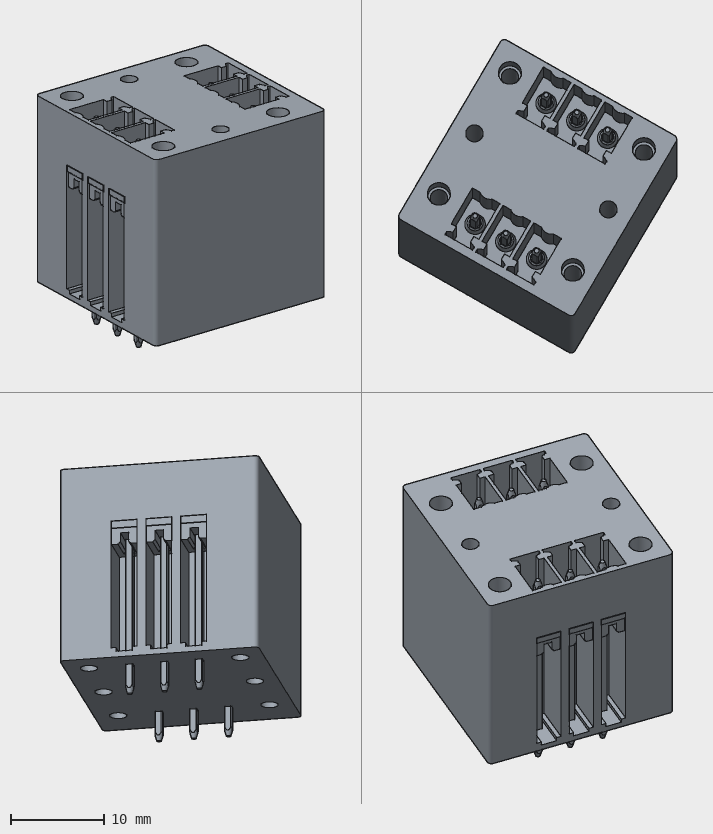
import cadquery as cq

WIDTH = 21.8
DEPTH = 22.7
HEIGHT = 21.85
CORNER_RADIUS = 0.5
FRONT = -DEPTH / 2

PITCH = 3.82
COLUMNS = [-PITCH, 0, PITCH]
ROW_SPACING = 4 * PITCH
GRID_CENTRE_Y = -0.78
FRONT_ROW_Y = GRID_CENTRE_Y - ROW_SPACING / 2
REAR_ROW_Y = GRID_CENTRE_Y + ROW_SPACING / 2
ROWS = [FRONT_ROW_Y, REAR_ROW_Y]
CONTACTS = [(x, y) for y in ROWS for x in COLUMNS]

PIN_WIDTH = 0.83
PIN_BEVEL = 0.1
PIN_TIP_RADIUS = 0.25
PIN_TIP_SLOPE = 3.3
PIN_BOTTOM = -3.25
PIN_TOP = 20.98

SOCKET_WIDTH = 3.41
SOCKET_FLOOR = 16.06
SOCKET_REAR = 3.51
SOCKET_FRONT = 2.35
NECK_WIDTH = 2.15
LIP_STRAIGHT = 0.38
LIP_SLANT_END = 0.68
KEY_END = 1.35
RIB_WIDTH = 1.5
RIB_HEIGHT = 0.28

COLLAR_BASE_RADIUS = 1.1
COLLAR_SHOULDER_RADIUS = 0.85
COLLAR_TOP_RADIUS = 0.55
COLLAR_TAPER_HEIGHT = 0.75
COLLAR_CROWN_HEIGHT = COLLAR_SHOULDER_RADIUS - COLLAR_TOP_RADIUS
COLLAR_RECESS_WIDTH = 1.25
COLLAR_RECESS_BEVEL = 0.35

WINDOW_WIDTH = 2.84
WINDOW_SHIFT = -0.03
WINDOW_BOTTOM = 1.08
WINDOW_TOP = 15.55
LEDGE_Z = 14.78
CAVITY_TOP = 12.95
UPPER_RECESS_DEPTH = 0.1
LOWER_RECESS_DEPTH = 0.25
CAVITY_BACK = FRONT_ROW_Y + WINDOW_WIDTH / 2
GROOVE_WIDTH = 1.8
GROOVE_BOTTOM = 0.65
SLOT_WIDTH = 0.93
SLOT_TOP = 14.23
SLOT_FLARE = 0.25

HOLE_X = 8.3
HOLE_DIAMETER = 1.85
COUNTERBORE_DIAMETER = 2.45
COUNTERBORE_DEPTH = 2.5


def bevelled_bar(width, bevel, bottom, top):
    """Square bar along Z with its four long edges bevelled."""
    bar = cq.Workplane("XY").workplane(offset=bottom).rect(width, width).extrude(top - bottom)
    return bar.edges("|Z").chamfer(bevel)


def box_between(x_width, y_start, y_end, z_start, z_end):
    """Box centred on X = 0 between the given Y and Z limits."""
    size = (x_width, y_end - y_start, z_end - z_start)
    return cq.Workplane("XY").box(*size, centered=(True, False, False)).translate((0, y_start, z_start))


def make_pin():
    """Contact pin on the Z axis."""
    bar = bevelled_bar(PIN_WIDTH, PIN_BEVEL, PIN_BOTTOM, PIN_TOP)

    cone_length = (PIN_WIDTH - PIN_TIP_RADIUS) * PIN_TIP_SLOPE
    envelope = (
        cq.Workplane("XZ")
        .moveTo(0, PIN_BOTTOM)
        .lineTo(PIN_TIP_RADIUS, PIN_BOTTOM)
        .lineTo(PIN_WIDTH, PIN_BOTTOM + cone_length)
        .lineTo(PIN_WIDTH, PIN_TOP - cone_length)
        .lineTo(PIN_TIP_RADIUS, PIN_TOP)
        .lineTo(0, PIN_TOP)
        .close()
        .revolve(360, (0, 0, 0), (0, 1, 0))
    )
    return bar.intersect(envelope)


def make_socket():
    """Space for one plug, around a pin on the Z axis."""
    half = SOCKET_WIDTH / 2
    neck = NECK_WIDTH / 2
    return (
        cq.Workplane("XY")
        .workplane(offset=SOCKET_FLOOR)
        .moveTo(-half, -SOCKET_FRONT)
        .lineTo(-RIB_WIDTH / 2, -SOCKET_FRONT)
        .threePointArc((0, -SOCKET_FRONT + RIB_HEIGHT), (RIB_WIDTH / 2, -SOCKET_FRONT))
        .lineTo(half, -SOCKET_FRONT)
        .lineTo(half, SOCKET_REAR - KEY_END)
        .lineTo(neck, SOCKET_REAR - KEY_END)
        .lineTo(neck, SOCKET_REAR - LIP_SLANT_END)
        .lineTo(half, SOCKET_REAR - LIP_STRAIGHT)
        .lineTo(half, SOCKET_REAR)
        .lineTo(-half, SOCKET_REAR)
        .lineTo(-half, SOCKET_REAR - LIP_STRAIGHT)
        .lineTo(-neck, SOCKET_REAR - LIP_SLANT_END)
        .lineTo(-neck, SOCKET_REAR - KEY_END)
        .lineTo(-half, SOCKET_REAR - KEY_END)
        .close()
        .extrude(HEIGHT - SOCKET_FLOOR)
    )


def make_collar():
    """Tapered collar with a bevelled square recess, around the Z axis."""
    shoulder_z = SOCKET_FLOOR + COLLAR_TAPER_HEIGHT
    top_z = shoulder_z + COLLAR_CROWN_HEIGHT
    collar = (
        cq.Workplane("XZ")
        .moveTo(0, SOCKET_FLOOR)
        .lineTo(COLLAR_BASE_RADIUS, SOCKET_FLOOR)
        .lineTo(COLLAR_SHOULDER_RADIUS, shoulder_z)
        .lineTo(COLLAR_TOP_RADIUS, top_z)
        .lineTo(0, top_z)
        .close()
        .revolve(360, (0, 0, 0), (0, 1, 0))
    )
    return collar.cut(bevelled_bar(COLLAR_RECESS_WIDTH, COLLAR_RECESS_BEVEL, SOCKET_FLOOR, top_z))


def make_window():
    """Stepped opening from the front face to behind a front pin, on the plane X = 0."""
    slot_back = FRONT_ROW_Y + PIN_WIDTH / 2
    upper_recess = box_between(WINDOW_WIDTH, FRONT, FRONT + UPPER_RECESS_DEPTH, WINDOW_BOTTOM, WINDOW_TOP)
    lower_recess = box_between(WINDOW_WIDTH, FRONT, FRONT + LOWER_RECESS_DEPTH, WINDOW_BOTTOM, LEDGE_Z)
    cavity = box_between(WINDOW_WIDTH, FRONT, CAVITY_BACK, WINDOW_BOTTOM, CAVITY_TOP)
    groove = box_between(GROOVE_WIDTH, FRONT, CAVITY_BACK, GROOVE_BOTTOM, WINDOW_BOTTOM)
    half = SLOT_WIDTH / 2
    slot = (
        cq.Workplane("XZ", origin=(0, FRONT, 0))
        .moveTo(-half - SLOT_FLARE, CAVITY_TOP)
        .lineTo(half + SLOT_FLARE, CAVITY_TOP)
        .lineTo(half, CAVITY_TOP + SLOT_FLARE)
        .lineTo(half, SLOT_TOP)
        .lineTo(-half, SLOT_TOP)
        .lineTo(-half, CAVITY_TOP + SLOT_FLARE)
        .close()
        .extrude(FRONT - slot_back)
    )
    return cavity.union(upper_recess).union(lower_recess).union(groove).union(slot)


def make_housing():
    """Block with its sockets, collars, windows and vertical holes, without the pin holes."""
    housing = box_between(WIDTH, FRONT, -FRONT, 0, HEIGHT).edges("|Z").fillet(CORNER_RADIUS)

    socket = make_socket()
    collar = make_collar()
    for x, y in CONTACTS:
        housing = housing.cut(socket.translate((x, y, 0)))
        housing = housing.union(collar.translate((x, y, 0)))

    window = make_window()
    for x in COLUMNS:
        housing = housing.cut(window.translate((x + WINDOW_SHIFT, 0, 0)))

    counterbored = [(x, y) for x in (-HOLE_X, HOLE_X) for y in ROWS]
    plain = [(x, GRID_CENTRE_Y) for x in (-HOLE_X, HOLE_X)]
    top = cq.Workplane("XY").workplane(offset=HEIGHT)
    housing = housing.cut(top.pushPoints(counterbored + plain).circle(HOLE_DIAMETER / 2).extrude(-HEIGHT))
    counterbores = top.pushPoints(counterbored).circle(COUNTERBORE_DIAMETER / 2).extrude(-COUNTERBORE_DEPTH)
    return housing.cut(counterbores)


pin = make_pin()
pins = [pin.translate((x, y, 0)) for x, y in CONTACTS]

housing = make_housing()
for contact in pins:
    housing = housing.cut(contact)

result = cq.Compound.makeCompound([housing.solids().val(), *[contact.solids().val() for contact in pins]])